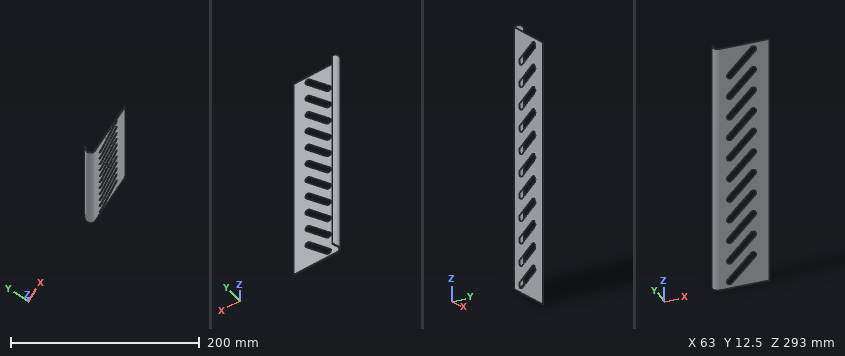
import cadquery as cq
import math

length = 293.0
width = 63.0
depth = 12.5

thickness = 1.2
outer_radius = 6.2
inner_radius = outer_radius - thickness
roll_angle = 135.0
lip_bevel = 3.0

slot_count = 11
slot_width = 7.0
slot_span = 33.7
slot_angle = 45.0
slot_center_x = 31.0
end_margin = 4.7
slot_pitch = (length - 2 * end_margin - slot_span) / (slot_count - 1)


def roll_point(radius, angle):
    """Point on the rolled edge, turned by angle from the start of the bend."""
    turn = math.radians(angle)
    x = outer_radius - radius * math.sin(turn)
    y = outer_radius - radius * math.cos(turn)
    return x, y


lip_start_x, lip_start_y = roll_point(outer_radius, roll_angle)
lip_rise = depth - lip_start_y
lip_slope = math.radians(180.0 - roll_angle)
lip_length = lip_rise / math.sin(lip_slope)
lip_dx = lip_length * math.cos(lip_slope)


def make_sheet():
    """Flat web, rolled edge and lip, extruded along Z."""
    inner_end_x, inner_end_y = roll_point(inner_radius, roll_angle)
    return (
        cq.Workplane("XY")
        .moveTo(width, 0)
        .lineTo(outer_radius, 0)
        .threePointArc(roll_point(outer_radius, roll_angle / 2), (lip_start_x, lip_start_y))
        .lineTo(lip_start_x + lip_dx, depth)
        .lineTo(inner_end_x + lip_dx, inner_end_y + lip_rise)
        .lineTo(inner_end_x, inner_end_y)
        .threePointArc(roll_point(inner_radius, roll_angle / 2), (outer_radius, thickness))
        .lineTo(width, thickness)
        .close()
        .extrude(length)
    )


def make_slots():
    """Row of diagonal slot cutters, centred along the length."""
    center_distance = (slot_span - slot_width) / math.cos(math.radians(slot_angle))
    first_z = end_margin + slot_span / 2
    centers = [(slot_center_x, first_z + i * slot_pitch) for i in range(slot_count)]
    return (
        cq.Workplane("XZ")
        .pushPoints(centers)
        .slot2D(center_distance + slot_width, slot_width, slot_angle)
        .extrude(-thickness)
    )


def make_lip_corner(end_z, inward):
    """Triangular cutter that bevels one end of the lip at 45 degrees."""
    return (
        cq.Workplane("YZ")
        .moveTo(depth - lip_bevel, end_z)
        .lineTo(depth, end_z)
        .lineTo(depth, end_z + inward * lip_bevel)
        .close()
        .extrude(width)
    )


result = make_sheet().cut(make_slots())
for end_z, inward in ((0, 1), (length, -1)):
    result = result.cut(make_lip_corner(end_z, inward))